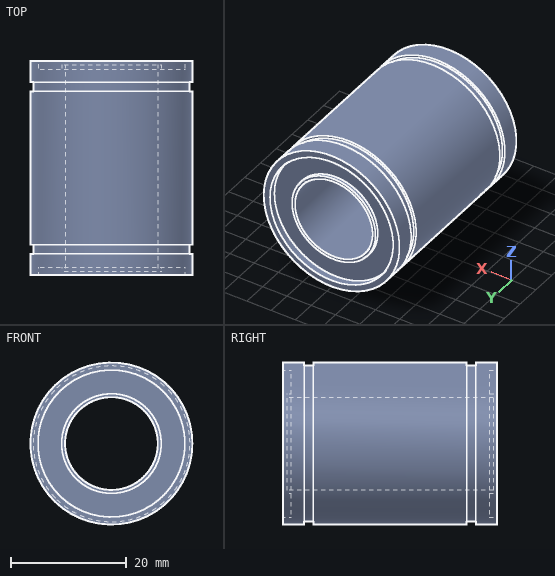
import cadquery as cq

length = 37.0
outer_diameter = 28.0

groove_diameter = 27.0
groove_width = 1.6
end_land = 3.65

bore_diameter = 16.0
sleeve_diameter = 17.2
recess_diameter = 25.4
recess_depth = 1.4
sleeve_protrusion = 0.7


def cylinder(diameter, start, height):
    """Solid cylinder along Y, beginning at Y = start."""
    return cq.Workplane("XZ", origin=(0, start, 0)).circle(diameter / 2).extrude(-height)


def ring(outside, inside, start, height):
    """Hollow cylinder along Y, beginning at Y = start."""
    return cylinder(outside, start, height).cut(cylinder(inside, start, height))


half_length = length / 2
body = cylinder(outer_diameter, -half_length, length)

for start in (-half_length, half_length - recess_depth):
    body = body.cut(cylinder(recess_diameter, start, recess_depth))

for start in (-half_length + end_land, half_length - end_land - groove_width):
    body = body.cut(ring(outer_diameter, groove_diameter, start, groove_width))

sleeve_length = length - 2 * (recess_depth - sleeve_protrusion)
body = body.union(cylinder(sleeve_diameter, -sleeve_length / 2, sleeve_length))
result = body.cut(cylinder(bore_diameter, -half_length, length))